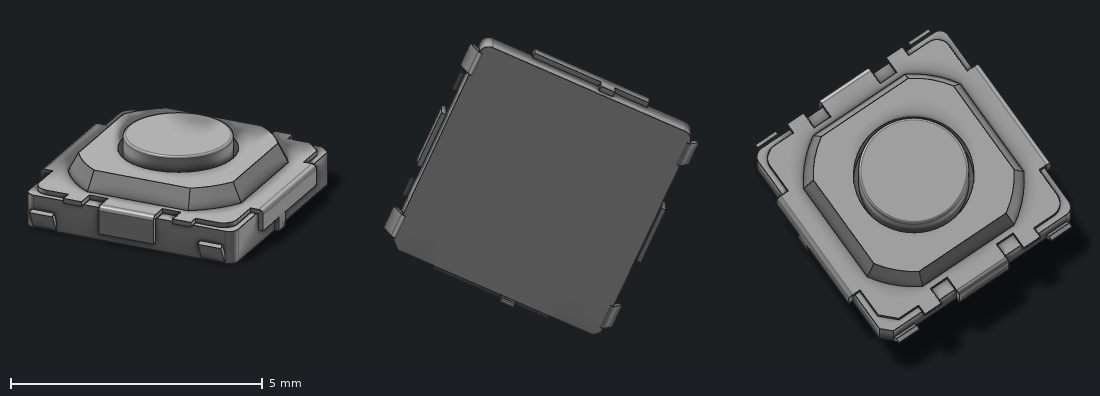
import cadquery as cq
import math

base_size = 4.6
base_height = 0.7
base_corner = 0.2

cover_size = 4.35
cover_corner = 0.3
cover_thickness = 0.1
cover_top = base_height + cover_thickness

flap_reach = 2.45
flap_thickness = cover_thickness
flap_bend_radius = cover_thickness
end_flap_width = 1.2
end_flap_bottom = 0.2
side_flap_width = 2.5
side_flap_bottom = 0.35
side_tab_width = 0.3
side_tab_center_y = -0.35
side_tab_bottom = 0.05
tongue_reach = 2.4
tongue_inner_x = 1
tongue_outer_x = 1.4
notch_floor_y = 2.025

dome_half_width = 1.9
dome_corner_radius = 2.2
dome_inset = 0.2
dome_height = 0.4
dome_top = cover_top + dome_height

button_diameter = 2.2
button_top = 1.5
button_edge_radius = 0.05
button_hole_diameter = 2.4

leg_outer_x = base_size / 2 - base_corner
leg_width = 0.5
leg_inner_x = leg_outer_x - leg_width
leg_tip_y = 2.5
leg_tip_z = 0.4
leg_thickness = 0.1
leg_lean = math.atan2(leg_tip_y - base_size / 2, leg_tip_z)
bend_end_y = base_size / 2 + leg_thickness * (1 - math.sin(leg_lean)) * math.tan(leg_lean)
bend_start_y = bend_end_y - leg_thickness * math.cos(leg_lean)


def corner_plate(size, corner, bottom, height):
    """Square plate: three corners rounded, the +X +Y corner chamfered."""
    plate = cq.Workplane("XY").box(size, size, height, centered=(True, True, False))
    plate = plate.edges("|Z").edges(">(1, 1, 0)").chamfer(corner)
    plate = plate.edges("|Z").edges("<X or <Y").fillet(corner)
    return plate.translate((0, 0, bottom))


def block(x_range, y_range, z_range):
    """Box between two limits along each axis."""
    ranges = (x_range, y_range, z_range)
    sizes = [limits[1] - limits[0] for limits in ranges]
    corner = tuple(limits[0] for limits in ranges)
    return cq.Workplane("XY").box(*sizes, centered=False).translate(corner)


def both_sides(shape, plane):
    """Shape together with its mirror image."""
    return shape.union(shape.mirror(plane))


def bent_flap(width, bottom):
    """Flap on the -Y side that runs out over the base and bends down."""
    inner_y = cover_size / 2 - cover_corner
    outline = (
        cq.Workplane("YZ")
        .moveTo(-inner_y, cover_top)
        .lineTo(-flap_reach + flap_bend_radius, cover_top)
        .radiusArc((-flap_reach, cover_top - flap_bend_radius), -flap_bend_radius)
        .lineTo(-flap_reach, bottom)
        .lineTo(-flap_reach + flap_thickness, bottom)
        .lineTo(-flap_reach + flap_thickness, base_height)
        .lineTo(-inner_y, base_height)
        .close()
    )
    return outline.extrude(width / 2, both=True)


def make_cover():
    cover = corner_plate(cover_size, cover_corner, base_height, cover_thickness)

    tongue = block(
        (tongue_inner_x, tongue_outer_x),
        (-tongue_reach, -notch_floor_y),
        (base_height, cover_top),
    )
    cover = cover.union(both_sides(both_sides(tongue, "YZ"), "XZ"))

    notch = block(
        (end_flap_width / 2, tongue_inner_x),
        (-cover_size / 2, -notch_floor_y),
        (base_height, cover_top),
    )
    cover = cover.cut(both_sides(both_sides(notch, "YZ"), "XZ"))

    end_flap = bent_flap(end_flap_width, end_flap_bottom)
    cover = cover.union(both_sides(end_flap, "XZ"))

    side_flap = bent_flap(side_flap_width, side_flap_bottom).rotate((0, 0, 0), (0, 0, 1), -90)
    side_tab = block(
        (-flap_reach, -flap_reach + flap_thickness),
        (side_tab_center_y - side_tab_width / 2, side_tab_center_y + side_tab_width / 2),
        (side_tab_bottom, side_flap_bottom),
    )
    return cover.union(both_sides(side_flap.union(side_tab), "YZ"))


def make_dome():
    taper = math.degrees(math.atan(dome_inset / dome_height))
    square = (
        cq.Workplane("XY")
        .workplane(offset=cover_top)
        .rect(2 * dome_half_width, 2 * dome_half_width)
        .extrude(dome_height, taper=taper)
    )
    cone = (
        cq.Workplane("XY")
        .workplane(offset=cover_top)
        .circle(dome_corner_radius)
        .extrude(dome_height, taper=taper)
    )
    return square.intersect(cone)


def make_button():
    button = (
        cq.Workplane("XY")
        .workplane(offset=base_height)
        .circle(button_diameter / 2)
        .extrude(button_top - base_height)
    )
    return button.faces(">Z").edges().fillet(button_edge_radius)


def make_button_hole():
    return (
        cq.Workplane("XY")
        .workplane(offset=base_height)
        .circle(button_hole_diameter / 2)
        .extrude(dome_top - base_height)
    )


def on_all_legs(shape):
    """Shape of the leg at +X -Y repeated at all four leg places."""
    return both_sides(both_sides(shape, "YZ"), "XZ")


def make_leg():
    """Leg that curls up from the underside about its inner corner, then leans outward."""
    across = leg_thickness * math.cos(leg_lean)
    upward = leg_thickness * math.sin(leg_lean)
    middle_angle = (math.pi / 2 - leg_lean) / 2
    bend_middle = (
        -bend_start_y - leg_thickness * math.sin(middle_angle),
        leg_thickness * (1 - math.cos(middle_angle)),
    )
    return (
        cq.Workplane("YZ")
        .workplane(offset=leg_inner_x)
        .moveTo(-bend_start_y, 0)
        .threePointArc(bend_middle, (-bend_start_y - across, leg_thickness - upward))
        .lineTo(-leg_tip_y, leg_tip_z)
        .lineTo(-leg_tip_y + across, leg_tip_z + upward)
        .lineTo(-bend_start_y, leg_thickness)
        .close()
        .extrude(leg_width)
    )


def make_leg_notch():
    """Space in the bottom edge of the base that the leg bend sits in."""
    return block(
        (leg_inner_x, leg_outer_x),
        (-base_size / 2, -bend_start_y),
        (0, leg_thickness),
    )


base = corner_plate(base_size, base_corner, 0, base_height)
base = base.cut(on_all_legs(make_leg_notch())).union(on_all_legs(make_leg()))
housing = base.union(make_cover()).union(make_dome())
result = housing.cut(make_button_hole()).union(make_button())